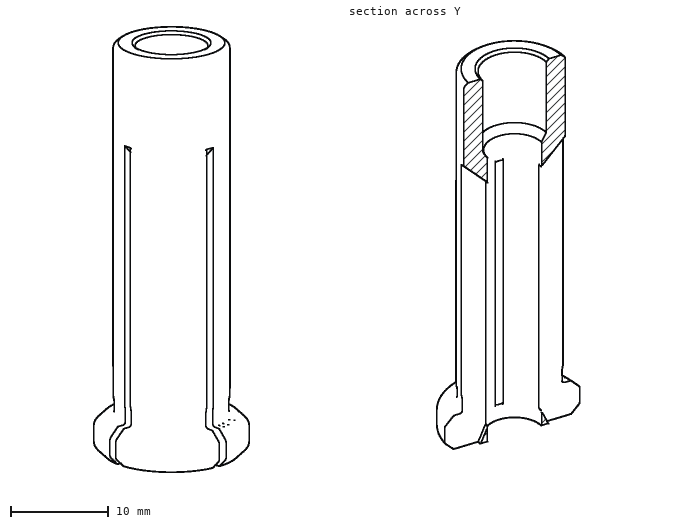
import cadquery as cq
import math

total_length = 44.0
body_radius = 12.0 / 2
flange_radius = 15.95 / 2

bottom_bevel_height = 1.0
bottom_face_radius = 6.95
flange_bevel_start = 3.0
flange_height = 4.05
flange_top_radius = 6.9
edge_rounding = 0.35

neck_radius = 5.9
neck_fillet = 0.35
neck_top = 5.65
body_start = 6.2

top_chamfer_height = 0.4
top_chamfer_width = 0.55
small_bore_radius = 6.35 / 2
large_bore_radius = 7.5 / 2
mouth_radius = 8.1 / 2
mouth_chamfer = mouth_radius - large_bore_radius
bore_step_height = 35.2
bore_cone_angle = math.radians(30)
bore_cone_height = (large_bore_radius - small_bore_radius) / math.tan(bore_cone_angle)

slot_count = 4
slot_width = 0.92
slot_top = 34.05
slot_slope_drop = body_radius - small_bore_radius

web_height = 1.85
web_angle = math.radians(25)
web_outer_radius = small_bore_radius + web_height * math.tan(web_angle)

tolerance = 0.05


def make_body():
    """Revolve the flanged sleeve with its stepped bore."""
    return (
        cq.Workplane("XZ")
        .moveTo(small_bore_radius, 0)
        .lineTo(bottom_face_radius, 0)
        .lineTo(flange_radius, bottom_bevel_height)
        .lineTo(flange_radius, flange_bevel_start)
        .lineTo(flange_top_radius, flange_height)
        .lineTo(neck_radius + neck_fillet, flange_height)
        .radiusArc((neck_radius, flange_height + neck_fillet), neck_fillet)
        .lineTo(neck_radius, neck_top)
        .lineTo(body_radius, body_start)
        .lineTo(body_radius, total_length - top_chamfer_height)
        .lineTo(body_radius - top_chamfer_width, total_length)
        .lineTo(mouth_radius, total_length)
        .lineTo(large_bore_radius, total_length - mouth_chamfer)
        .lineTo(large_bore_radius, bore_step_height)
        .lineTo(small_bore_radius, bore_step_height - bore_cone_height)
        .close()
        .revolve(360, (0, 0, 0), (0, 1, 0))
    )


def round_edges(body):
    """Round the bevel corners of the flange and the outer corner at the top."""
    corners = (
        (flange_radius, bottom_bevel_height),
        (flange_radius, flange_bevel_start),
        (flange_top_radius, flange_height),
        (body_radius, total_length - top_chamfer_height),
    )
    for radius, height in corners:
        reach = radius + tolerance
        low = (-reach, -reach, height - tolerance)
        high = (reach, reach, height + tolerance)
        ring = cq.selectors.BoxSelector(low, high, boundingbox=True)
        outermost = cq.selectors.RadiusNthSelector(-1)
        body = body.edges(ring).edges(outermost).fillet(edge_rounding)
    return body


def make_slot():
    """Make one radial slot cutter along +X that leaves the web at its foot."""
    web_apex = web_outer_radius / math.tan(web_angle)
    inner_top = slot_top - slot_slope_drop - small_bore_radius
    outer_top = slot_top + flange_radius - body_radius
    return (
        cq.Workplane("XZ")
        .moveTo(0, web_apex)
        .lineTo(web_outer_radius, 0)
        .lineTo(flange_radius, 0)
        .lineTo(flange_radius, outer_top)
        .lineTo(0, inner_top)
        .close()
        .extrude(slot_width / 2, both=True)
    )


result = round_edges(make_body())
slot = make_slot()
for index in range(slot_count):
    angle = index * 360 / slot_count
    result = result.cut(slot.rotate((0, 0, 0), (0, 0, 1), angle))